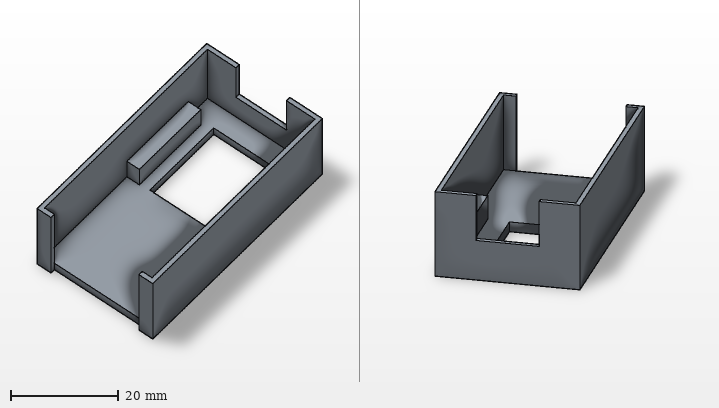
import cadquery as cq

width = 27.8
length = 49.9
height = 17.0
wall = 1.0
floor_thickness = 2.0

lip_width = 3.35

notch_width = 12.15
notch_bottom = 8.0

window_width = 13.25
window_length = 18.75
window_left = 6.3
window_back_gap = 5.65

rib_width = 3.0
rib_length = 18.05
rib_top = 6.75
rib_back_gap = 6.65


def block(x, y, z, size_x, size_y, size_z):
    """Box with its minimum corner at (x, y, z)."""
    return cq.Workplane("XY").box(size_x, size_y, size_z, centered=False).translate((x, y, z))


inner_width = width - 2 * wall
inner_length = length - 2 * wall
tray = block(0, 0, 0, width, length, height)
tray = tray.cut(block(wall, wall, floor_thickness, inner_width, inner_length, height))

tray = tray.cut(block(lip_width, 0, 0, width - 2 * lip_width, wall, height))

notch_left = (width - notch_width) / 2
tray = tray.cut(block(notch_left, length - wall, notch_bottom, notch_width, wall, height))

window_front = length - window_back_gap - window_length
tray = tray.cut(block(window_left, window_front, 0, window_width, window_length, floor_thickness))

rib_front = length - rib_back_gap - rib_length
rib_height = rib_top - floor_thickness
for rib_left in (wall, width - wall - rib_width):
    tray = tray.union(block(rib_left, rib_front, floor_thickness, rib_width, rib_length, rib_height))

result = tray